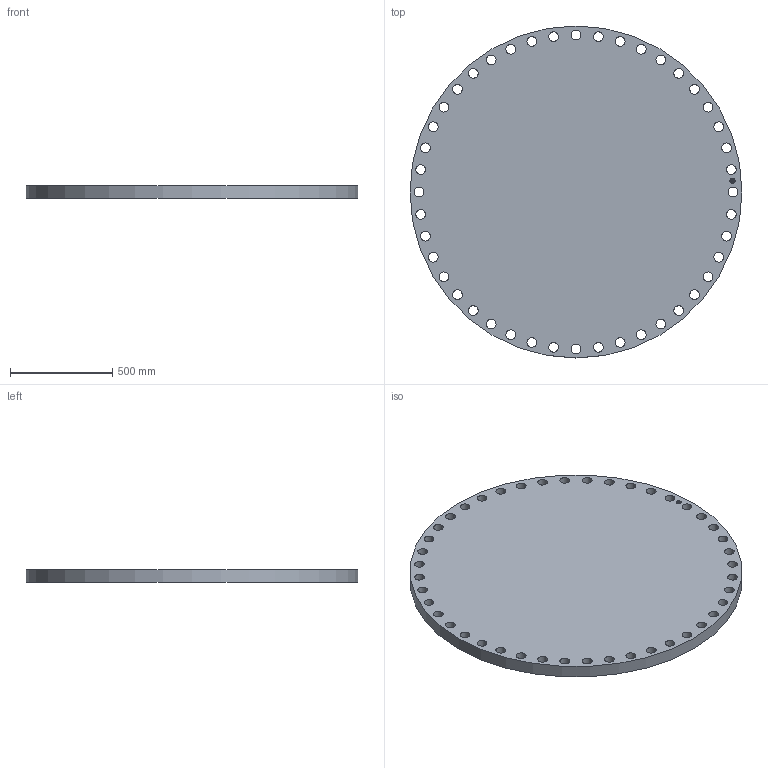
import math

import cadquery as cq

disc_diameter = 1625.6
disc_thickness = 62.69

bolt_circle_diameter = 1536.7
bolt_circle_radius = bolt_circle_diameter / 2
bolt_hole_diameter = 47.6
bolt_hole_count = 44
bolt_pitch_angle = 360 / bolt_hole_count

port_angle = bolt_pitch_angle / 2
port_step_diameters = (25.4, 16.0, 8.0)
port_step_depth = 5.0


def make_disc():
    return cq.Workplane("XY").circle(disc_diameter / 2).extrude(disc_thickness)


def make_bolt_holes():
    return (
        cq.Workplane("XY")
        .polarArray(bolt_circle_radius, 0, 360, bolt_hole_count)
        .circle(bolt_hole_diameter / 2)
        .extrude(disc_thickness)
    )


def cut_port(body):
    angle = math.radians(port_angle)
    x = bolt_circle_radius * math.cos(angle)
    y = bolt_circle_radius * math.sin(angle)
    for step, diameter in enumerate(port_step_diameters, start=1):
        bore_depth = step * port_step_depth
        bore = (
            cq.Workplane("XY", origin=(x, y, disc_thickness))
            .circle(diameter / 2)
            .extrude(-bore_depth)
        )
        body = body.cut(bore)
    return body


flange = make_disc().cut(make_bolt_holes())
result = cut_port(flange)